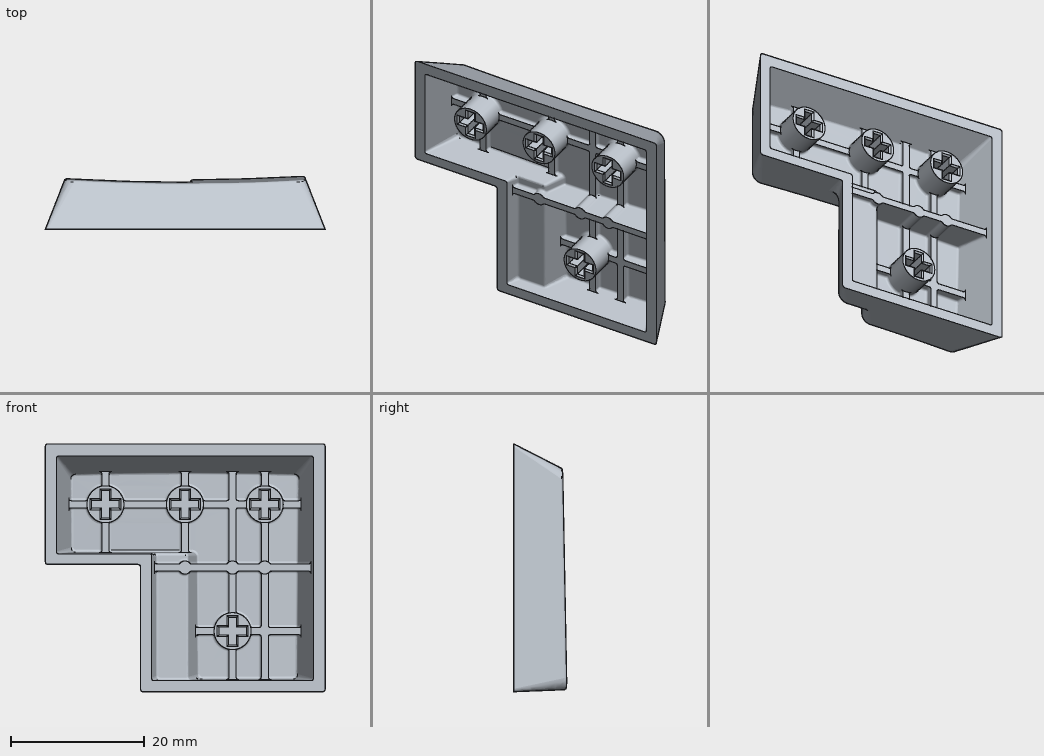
import cadquery as cq
import math


width = 41.9
height = 37.15
leg_left = 14.25
arm_bottom = 19.05
raised_left = 18.95
wall = 1.68
top_wall = 1.85
arm_wall = 1.6
right_wall = 1.75

side_lean = 0.39
top_lean = 0.51
cavity_top_lean = 0.49
bottom_lean = 0.04

dish_radius = 297.55
dish_depth = 7.45
tilt = 1.1
skin = 1.55
floor_radius = dish_radius + skin

step_depth = 4.02
step_floor = 2.0
step_hidden_left = 8.4
step_hidden_right = 29.35
step_hidden_top = 25.15

body_length = 9.2
step_length = 5.05

rim_radius = 0.4
raised_radius = 0.05
body_end_radius = 2.0
step_end_radius = 2.1
cavity_radius = 0.35
cavity_end_radius = 0.92
step_cavity_end_radius = 0.65

outer_fillet = 0.4
inner_fillet = 0.38

upper_stems = [(9.0, 28.1), (20.9, 28.1), (32.85, 28.1)]
lower_stem = (28.05, 9.1)
stem_diameter = 5.55
mount_depth = 1.0
cross_span = 4.1
cross_arm = 1.17
cross_depth = 4.0
cross_lead_in = 0.25

rib_width = 1.05
rib_top = 4.75
tall_rib_z = 18.6
tall_rib_swelling = 1.95


def rounded_wire(corners, y):
    """Closed wire at depth y through right-angled (x, z, radius) corners."""
    edges = []
    arc_ends = []
    for i, (x, z, radius) in enumerate(corners):
        x_before, z_before, _ = corners[i - 1]
        x_after, z_after, _ = corners[(i + 1) % len(corners)]
        corner = cq.Vector(x, y, z)
        inward = (corner - cq.Vector(x_before, y, z_before)).normalized()
        outward = (cq.Vector(x_after, y, z_after) - corner).normalized()
        start = corner - inward * radius
        end = corner + outward * radius
        centre = start + outward * radius
        middle = centre + (corner - centre) * math.sqrt(0.5)
        edges.append(cq.Edge.makeThreePointArc(start, middle, end))
        arc_ends.append((start, end))
    for i, (start, _) in enumerate(arc_ends):
        edges.append(cq.Edge.makeLine(arc_ends[i - 1][1], start))
    return cq.Wire.assembleEdges(edges)


def tapered_l(x_limits, z_limits, leg_x, arm_z, upper_lean, radii, length):
    """L-shaped solid tapering from the rim to Y = length.

    The radii are those at the rim, at the rim on the left side of the leg, and at the far end.
    """
    left, right = x_limits
    bottom, top = z_limits
    radius, leg_radius, end_radius = radii

    def outline(y, main_radius, side_radius):
        shift = side_lean * y
        lift = bottom_lean * y
        upper = top - upper_lean * y
        return rounded_wire(
            [
                (left + shift, arm_z + lift, main_radius),
                (leg_x + shift, arm_z + lift, side_radius),
                (leg_x + shift, bottom + lift, side_radius),
                (right - shift, bottom + lift, main_radius),
                (right - shift, upper, main_radius),
                (left + shift, upper, main_radius),
            ],
            y,
        )

    rim_outline = outline(0, radius, leg_radius)
    end_outline = outline(length, end_radius, end_radius)
    return cq.Workplane(obj=cq.Solid.makeLoft([rim_outline, end_outline], True))


def block(x0, x1, y0, y1, z0, z1):
    """Box between the given limits."""
    return cq.Workplane("XY").box(x1 - x0, y1 - y0, z1 - z0, centered=False).translate((x0, y0, z0))


def rod(x, z, diameter):
    """Round bar along Y from the mount depth to past the cavity floor."""
    return cq.Workplane("XZ", origin=(x, mount_depth, z)).circle(diameter / 2).extrude(mount_depth - body_length)


def tilted(shape):
    return shape.rotate((0, 0, 0), (1, 0, 0), tilt)


def beyond_dish(radius):
    """Tilted cylinder holding everything past the touch surface or the cavity floor."""
    axis = cq.Workplane("XY", origin=(width / 2, dish_depth + dish_radius, -height))
    return tilted(axis.circle(radius).extrude(3 * height))


def facing_edges(faces, least_y):
    """Edges of the faces that look nearly along +Y and lie past least_y."""
    edges = []
    for face in faces.vals():
        if face.normalAt().y > math.cos(math.radians(4 * tilt)) and face.Center().y > least_y:
            edges += face.Edges()
    return edges


def make_body():
    """Solid keycap, without the cavity."""
    main = tapered_l(
        (0, width), (0, height), raised_left, arm_bottom, top_lean,
        (rim_radius, raised_radius, body_end_radius), body_length,
    ).cut(beyond_dish(dish_radius))
    touch_edges = facing_edges(main.faces("%CYLINDER"), 0)
    main = main.newObject(touch_edges).fillet(outer_fillet)

    step = tapered_l(
        (step_hidden_left, step_hidden_right), (0, step_hidden_top), leg_left, arm_bottom, 0,
        (rim_radius, rim_radius, step_end_radius), step_length,
    )
    step = step.cut(tilted(block(-width, 2 * width, step_depth, width, -height, 2 * height)))
    body = main.union(step)
    step_edges = facing_edges(body.faces("%PLANE"), step_depth / 2)
    return body.newObject(step_edges).fillet(outer_fillet)


def make_cavity():
    """Hollow of the cap before the stems and ribs are left standing in it."""
    right = width - right_wall
    main = tapered_l(
        (wall, right), (wall, height - top_wall), raised_left + wall, arm_bottom + arm_wall, cavity_top_lean,
        (cavity_radius, cavity_radius, cavity_end_radius), body_length,
    ).cut(beyond_dish(floor_radius))
    step = tapered_l(
        (step_hidden_left, step_hidden_right), (wall, step_hidden_top), leg_left + wall, arm_bottom + arm_wall, 0,
        (cavity_radius, cavity_radius, step_cavity_end_radius), step_floor,
    )
    return main.union(step)


def make_ribs():
    """Stems and ribs, running on past the cavity floor."""

    def rib_along_x(x0, z, y):
        return block(x0, width, y, body_length, z - rib_width / 2, z + rib_width / 2)

    def rib_along_z(x, z0):
        return block(x - rib_width / 2, x + rib_width / 2, rib_top, body_length, z0, height)

    left_x, middle_x, right_x = [x for x, _ in upper_stems]
    lower_x, lower_z = lower_stem
    ribs = rib_along_x(0, upper_stems[0][1], rib_top)
    ribs = ribs.union(rib_along_x(raised_left, lower_z, rib_top))
    ribs = ribs.union(rib_along_x(leg_left, tall_rib_z, mount_depth))
    for x in (left_x, middle_x):
        ribs = ribs.union(rib_along_z(x, arm_bottom))
    for x in (lower_x, right_x):
        ribs = ribs.union(rib_along_z(x, 0))
    for x in (middle_x, lower_x, right_x):
        ribs = ribs.union(rod(x, tall_rib_z, tall_rib_swelling))
    for x, z in upper_stems + [lower_stem]:
        ribs = ribs.union(rod(x, z, stem_diameter))
    return ribs


def round_inside(void):
    """Round the floor edges of the void and the upright edges of its ribs and stems."""
    tolerance = 0.05
    shortest_upright = 0.4
    rounded = facing_edges(void.faces("%CYLINDER"), 0)
    for face in void.faces("%PLANE").vals():
        box = face.BoundingBox()
        if box.ylen < tolerance and abs(box.ymin - step_floor) < tolerance:
            rounded += face.Edges()
    for edge in void.edges().vals():
        box = edge.BoundingBox()
        if box.ylen > shortest_upright and box.ymin > mount_depth - tolerance:
            rounded.append(edge)
    return void.newObject(rounded).fillet(inner_fillet)


def make_cross(x, z):
    """Cross-shaped socket with a bevelled mouth."""

    def cross_face(growth):
        long_side = cross_span + growth
        short_side = cross_arm + growth
        mouth = cq.Workplane("XZ", origin=(x, mount_depth, z)).sketch()
        return mouth.rect(long_side, short_side).rect(short_side, long_side).clean().finalize()

    bevel = cross_face(2 * cross_lead_in).extrude(-cross_lead_in, taper=45)
    return cross_face(0).extrude(-cross_depth).union(bevel)


result = make_body().cut(round_inside(make_cavity().cut(make_ribs())))
for stem_x, stem_z in upper_stems + [lower_stem]:
    result = result.cut(make_cross(stem_x, stem_z))